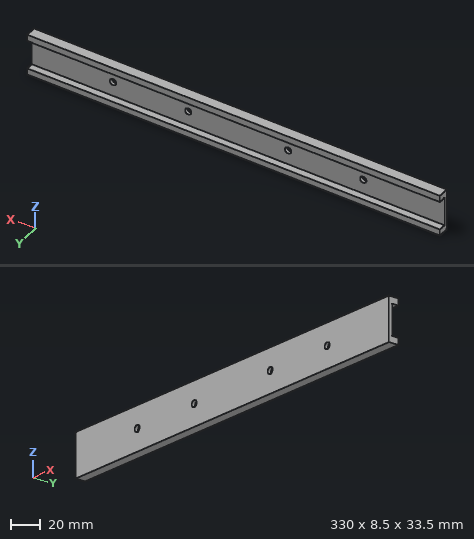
import cadquery as cq

length = 330.0
depth = 8.5
height = 33.5

web_thickness = 3.0
flange_thickness = 5.3

hole_diameter = 5.0
inner_hole_offset = 40.0
outer_hole_offset = 100.0


def make_channel():
    """Straight C-shaped rail, centred on the origin."""
    block = cq.Workplane("XY").box(length, depth, height)
    groove_depth = depth - web_thickness
    groove = (
        cq.Workplane("XY")
        .box(length, groove_depth, height - 2 * flange_thickness)
        .translate((0, web_thickness / 2, 0))
    )
    return block.cut(groove)


def make_holes():
    """Cylinders along Y at the hole positions on the rail's centreline."""
    offsets = (inner_hole_offset, outer_hole_offset)
    centres = [(side * offset, 0) for offset in offsets for side in (-1, 1)]
    return (
        cq.Workplane("XZ")
        .pushPoints(centres)
        .circle(hole_diameter / 2)
        .extrude(depth / 2, both=True)
    )


result = make_channel().cut(make_holes())